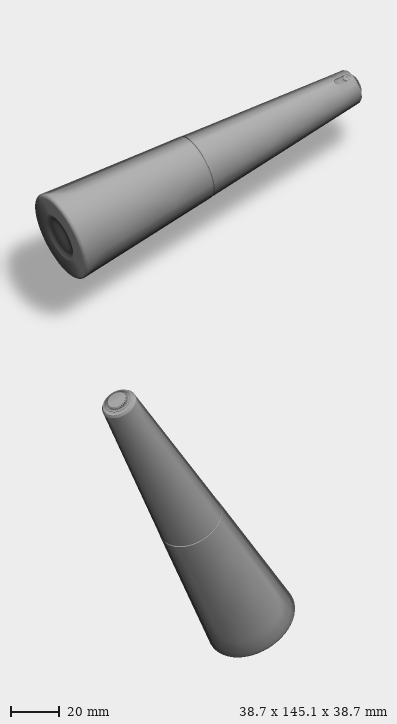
import cadquery as cq
import math

total_length = 145.1

foot_radius = 19.37
foot_taper_start = 1.5
rim_width = 1.3
joint_y = 66.3
foot_joint_radius = 14.1

recess_mouth_radius = 10.5
recess_floor_radius = 8.0
recess_depth = 1.3
recess_edge_fillet = 1.3

grip_end_y = 143.4
grip_taper_end = 142.4
grip_joint_radius = 14.0
grip_taper_end_radius = 7.5
grip_end_radius = 6.8
groove_width = 0.6
groove_depth = 0.5

slot_width = 3.2
slot_length = 7.5
slot_end_y = 142.0
slot_depth = 0.7
button_rim_chamfer = 0.3
button_dimple_radius = 0.6
button_dimple_depth = 0.3

flange_radius = 5.2
flange_thickness = 0.3
cap_radius = 4.4
cap_chamfer = 0.5
tooth_count = 30
tooth_depth = 0.6

groove_top_y = joint_y + groove_width
taper_slope = (grip_joint_radius - grip_taper_end_radius) / (grip_taper_end - groove_top_y)
slot_radius = slot_width / 2
button_y = slot_end_y - slot_radius
button_surface_z = grip_taper_end_radius + taper_slope * (grip_taper_end - button_y)
surface_plane = cq.Plane(
    origin=(0, button_y, button_surface_z), xDir=(1, 0, 0), normal=(0, taper_slope, 1)
)
slot_floor = surface_plane.toWorldCoords((0, 0, -slot_depth))
slot_floor_plane = cq.Plane(
    origin=slot_floor.toTuple(), xDir=(1, 0, 0), normal=(0, taper_slope, 1)
)


def revolve_about_y(outline):
    return outline.close().revolve(360, (0, 0, 0), (0, 1, 0))


def make_foot():
    rim_face_radius = foot_radius - rim_width
    rim_mid = (
        rim_face_radius + rim_width * math.sin(math.pi / 4),
        foot_taper_start * (1 - math.cos(math.pi / 4)),
    )
    body = revolve_about_y(
        cq.Workplane("XY")
        .lineTo(rim_face_radius, 0)
        .threePointArc(rim_mid, (foot_radius, foot_taper_start))
        .lineTo(foot_joint_radius, joint_y)
        .lineTo(0, joint_y)
    )
    recess = revolve_about_y(
        cq.Workplane("XY")
        .lineTo(recess_mouth_radius, 0)
        .lineTo(recess_floor_radius, recess_depth)
        .lineTo(0, recess_depth)
    )
    recess_edges = cq.selectors.BoxSelector(
        (-foot_joint_radius, -recess_depth, -foot_joint_radius),
        (foot_joint_radius, 2 * recess_depth, foot_joint_radius),
        boundingbox=True,
    )
    return body.cut(recess).edges(recess_edges).edges("%CIRCLE").fillet(recess_edge_fillet)


def make_grip():
    neck_radius = grip_joint_radius - groove_depth
    body = revolve_about_y(
        cq.Workplane("XY")
        .moveTo(0, joint_y)
        .lineTo(neck_radius, joint_y)
        .lineTo(neck_radius, groove_top_y)
        .lineTo(grip_joint_radius, groove_top_y)
        .lineTo(grip_taper_end_radius, grip_taper_end)
        .lineTo(grip_end_radius, grip_end_y)
        .lineTo(0, grip_end_y)
    )
    slot_center_offset = slot_radius - slot_length / 2
    slot = (
        cq.Workplane(slot_floor_plane)
        .center(0, slot_center_offset)
        .slot2D(slot_length, slot_width, 90)
        .extrude(2 * slot_depth)
    )
    return body.cut(slot)


def make_button():
    return (
        cq.Workplane(slot_floor_plane)
        .circle(slot_radius)
        .extrude(slot_depth)
        .faces(">Z")
        .chamfer(button_rim_chamfer)
        .cut(
            cq.Workplane(surface_plane)
            .circle(button_dimple_radius)
            .extrude(-button_dimple_depth)
        )
    )


def make_cap():
    flange_top_y = grip_end_y + flange_thickness
    body = revolve_about_y(
        cq.Workplane("XY")
        .moveTo(0, grip_end_y)
        .lineTo(flange_radius, grip_end_y)
        .lineTo(flange_radius, flange_top_y)
        .lineTo(cap_radius, flange_top_y)
        .lineTo(cap_radius, total_length - cap_chamfer)
        .lineTo(cap_radius - cap_chamfer, total_length)
        .lineTo(0, total_length)
    )
    gap_half_width = math.pi * cap_radius / tooth_count / 2
    gap = (
        cq.Workplane("XZ", origin=(0, flange_top_y, 0))
        .moveTo(cap_radius - tooth_depth, 0)
        .lineTo(cap_radius + tooth_depth, 2 * gap_half_width)
        .lineTo(cap_radius + tooth_depth, -2 * gap_half_width)
        .close()
        .extrude(flange_top_y - total_length)
    )
    for index in range(tooth_count):
        body = body.cut(gap.rotate((0, 0, 0), (0, 1, 0), index * 360 / tooth_count))
    return body


foot = make_foot()
grip = make_grip()
button = make_button()
cap = make_cap()

result = cq.Compound.makeCompound([foot.val(), grip.val(), button.val(), cap.val()])